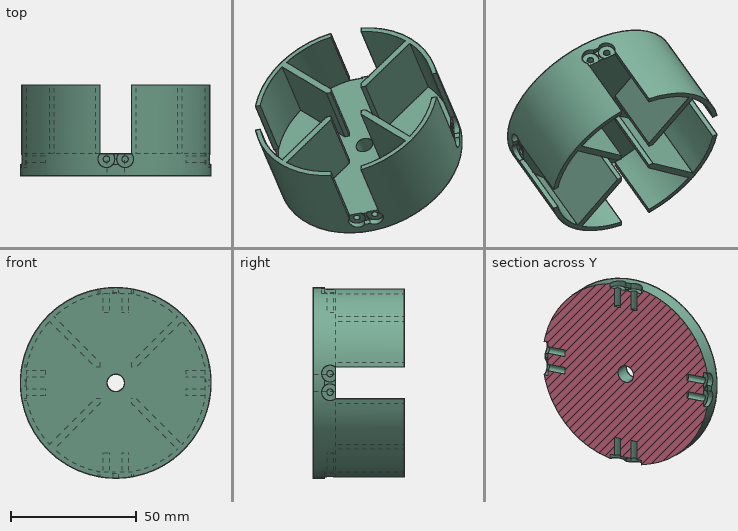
import cadquery as cq

outer_radius = 38.0
height = 36.2
wall = 2.0
floor_thickness = 8.9
bore_diameter = 6.8

slot_width = 12.45

rib_thickness = 2.65

seat_radius = 3.35
seat_spacing = 7.45
seat_height = 6.7
seat_depth = 2.4
screw_hole_diameter = 2.6
screw_hole_depth = 7.6

bridge_height = 4.55
bridge_depth = 2.0


def cylinder_along_y(radius, start, end):
    return cq.Workplane("XZ", origin=(0, start, 0)).circle(radius).extrude(start - end)


def block(width, start, end, bottom, top):
    """Block centred on X, from start to end along Y and from bottom to top along Z."""
    base = cq.Workplane("XY", origin=(0, start, bottom))
    return base.box(width, end - start, top - bottom, centered=(True, False, False))


def turn(shape, angle):
    """Rotate a shape about the cup axis."""
    return shape.rotate((0, 0, 0), (0, 1, 0), angle)


def make_cup():
    cup = cylinder_along_y(outer_radius, 0, height)
    return cup.cut(cylinder_along_y(outer_radius - wall, floor_thickness, height))


def make_ribs():
    """Two crossing plates at 45 degrees, ending inside the wall."""
    reach = outer_radius - wall / 2
    plate = block(rib_thickness, 0, height, -reach, reach)
    return turn(plate, 45).union(turn(plate, -45))


def drill_pair(radius, bottom, top):
    """Two upright cylinders at the screw positions of the slot on the +Z side."""
    positions = [(-seat_spacing / 2, seat_height), (seat_spacing / 2, seat_height)]
    return cq.Workplane("XY", origin=(0, 0, bottom)).pushPoints(positions).circle(radius).extrude(top - bottom)


def make_slot_cut():
    """Everything removed on the +Z side: slot, screw seats, screw holes and bridge recess."""
    seat_floor = outer_radius - seat_depth
    slot = block(slot_width, floor_thickness, height, 0, outer_radius)
    seats = drill_pair(seat_radius, seat_floor, outer_radius)
    screw_holes = drill_pair(screw_hole_diameter / 2, seat_floor - screw_hole_depth, outer_radius)
    bridge = block(seat_spacing, bridge_height, floor_thickness, outer_radius - bridge_depth, outer_radius)
    return slot.union(seats).union(screw_holes).union(bridge)


result = make_cup().union(make_ribs())
slot_cut = make_slot_cut()
for angle in (0, 90, 180, 270):
    result = result.cut(turn(slot_cut, angle))
result = result.cut(cylinder_along_y(bore_diameter / 2, 0, height))